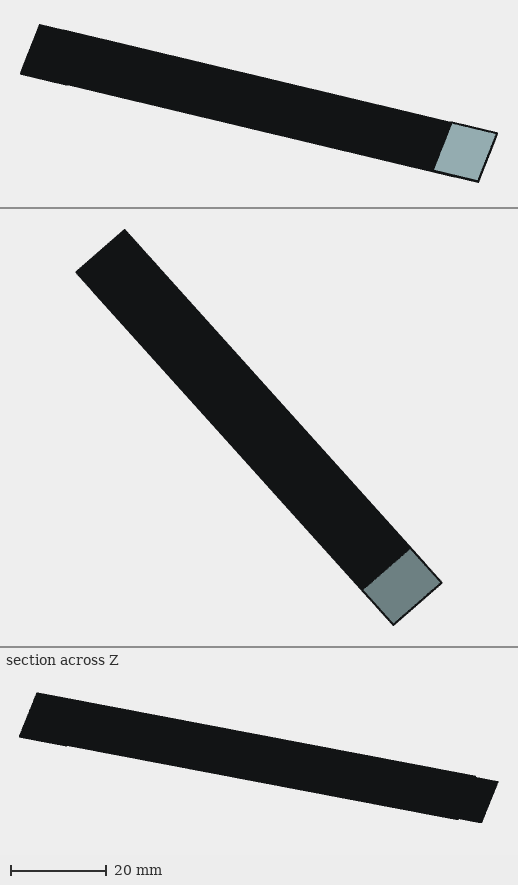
import cadquery as cq


cable_length = 100.0
overall_thickness = 0.59

conductor_count = 26
conductor_pitch = 0.5
conductor_width = 0.3
conductor_thickness = 0.05

film_thickness = 0.045
bared_length = 5.0
stiffener_length = 10.0

cable_width = (conductor_count + 1) * conductor_pitch
cable_thickness = 2 * film_thickness + conductor_thickness
stiffener_thickness = (overall_thickness - cable_thickness) / 2

lower_film_bottom = stiffener_thickness
conductor_bottom = lower_film_bottom + film_thickness
upper_film_bottom = conductor_bottom + conductor_thickness
upper_stiffener_bottom = upper_film_bottom + film_thickness


def full_width_layer(x_start, length, bottom, thickness):
    """Flat layer as wide as the cable."""
    return (
        cq.Workplane("XY")
        .box(length, cable_width, thickness, centered=False)
        .translate((x_start, 0, bottom))
    )


def conductor(centre_y):
    """Flat conductor running the whole length of the cable."""
    return (
        cq.Workplane("XY")
        .box(cable_length, conductor_width, conductor_thickness, centered=(False, True, False))
        .translate((0, centre_y, conductor_bottom))
    )


film_length = cable_length - bared_length
lower_film = full_width_layer(0, film_length, lower_film_bottom, film_thickness)
upper_film = full_width_layer(bared_length, film_length, upper_film_bottom, film_thickness)

lower_stiffener = full_width_layer(0, stiffener_length, 0, stiffener_thickness)
upper_stiffener = full_width_layer(
    cable_length - stiffener_length, stiffener_length, upper_stiffener_bottom, stiffener_thickness
)

conductors = [conductor((i + 1) * conductor_pitch).val() for i in range(conductor_count)]
layers = [layer.val() for layer in (upper_film, lower_stiffener, upper_stiffener)]
cable = lower_film.val().fuse(*conductors, *layers).clean()

result = cq.Workplane("XY").newObject(cable.Solids())